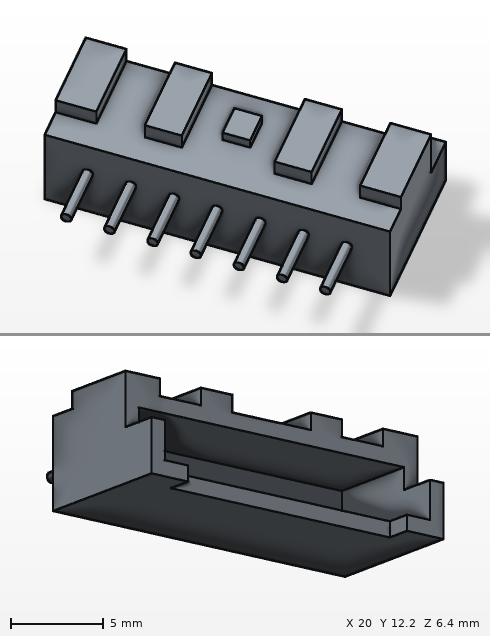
import cadquery as cq

length = 20.0
depth = 8.8
deck_height = 5.4
deck_depth = 6.48
end_wall_height = 3.2

wall = 0.92
cavity_length = length - 2 * wall
cavity_height = deck_height - 2 * wall

floor_recess_length = 15.0
floor_recess_start = 7.25

rib_start = 1.72
rib_depth = deck_depth - rib_start
rib_top = 6.4
outer_rib_width = 2.35
inner_rib_width = 2.15
inner_rib_offset = 3.75
pad_width = 1.6
pad_start = 3.0
pad_depth = 1.85
pad_top = 6.0

pin_count = 7
pin_pitch = 2.5
pin_diameter = 0.6
pin_length = 3.4
pin_height = 3.2


def block(center_x, start_y, bottom_z, size_x, size_y, size_z):
    """Box centred on center_x, growing toward +Y and +Z."""
    return (
        cq.Workplane("XY")
        .box(size_x, size_y, size_z, centered=(True, False, False))
        .translate((center_x, start_y, bottom_z))
    )


def make_housing():
    """Stepped shell with a cavity that leaves the projecting floor and end walls."""
    body = block(0, 0, 0, length, deck_depth, deck_height)
    body = body.union(block(0, 0, 0, length, depth, end_wall_height))
    cavity = block(0, wall, wall, cavity_length, depth - wall, cavity_height)
    recess_depth = depth - floor_recess_start
    recess = block(0, floor_recess_start, 0, floor_recess_length, recess_depth, deck_height)
    return body.cut(cavity).cut(recess)


def make_rib(center_x, width):
    return block(center_x, rib_start, deck_height, width, rib_depth, rib_top - deck_height)


def make_pin(center_x):
    """Round pin rooted in the pin-side wall and projecting toward -Y."""
    return (
        cq.Workplane("XZ", origin=(center_x, wall, pin_height))
        .circle(pin_diameter / 2)
        .extrude(pin_length + wall)
    )


result = make_housing()

outer_rib_offset = (length - outer_rib_width) / 2
for side in (-1, 1):
    result = result.union(make_rib(side * outer_rib_offset, outer_rib_width))
    result = result.union(make_rib(side * inner_rib_offset, inner_rib_width))

result = result.union(
    block(0, pad_start, deck_height, pad_width, pad_depth, pad_top - deck_height)
)

for index in range(pin_count):
    pin_x = (index - (pin_count - 1) / 2) * pin_pitch
    result = result.union(make_pin(pin_x))